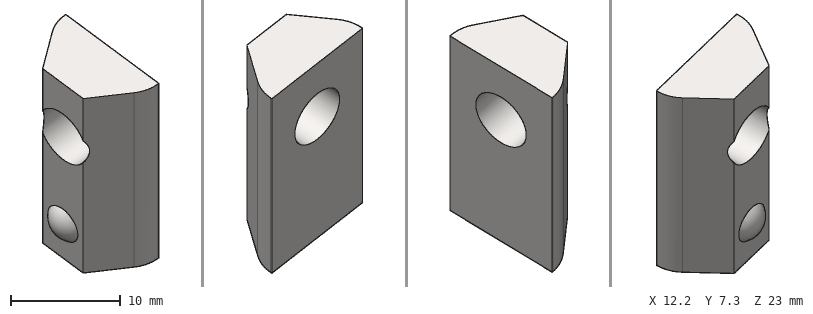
import cadquery as cq
import math

length = 23.0
width = 12.2
body_depth = 6.3
total_depth = 7.3
nose_width = 5.31
back_land = 0.14
shoulder_radius = 4.0
flank_angle = math.radians(35.2)

hole_diameter = 6.0
hole_from_top = 7.0

ball_from_bottom = 4.5
ball_base_radius = 1.95

half_width = width / 2
half_nose = nose_width / 2
ball_height = total_depth - body_depth
ball_radius = (ball_base_radius**2 + ball_height**2) / (2 * ball_height)


def shoulder_point(angle):
    """Point on the right shoulder arc, at an angle from its start."""
    x = half_width - shoulder_radius * (1 - math.cos(angle))
    y = -back_land - shoulder_radius * math.sin(angle)
    return x, y


def mirrored(point):
    return -point[0], point[1]


def make_body():
    """Prism with rounded shoulders and flanks narrowing to a flat nose."""
    middle = shoulder_point(flank_angle / 2)
    end = shoulder_point(flank_angle)
    return (
        cq.Workplane("XY")
        .moveTo(-half_width, 0)
        .lineTo(half_width, 0)
        .lineTo(half_width, -back_land)
        .threePointArc(middle, end)
        .lineTo(half_nose, -body_depth)
        .lineTo(-half_nose, -body_depth)
        .lineTo(*mirrored(end))
        .threePointArc(mirrored(middle), (-half_width, -back_land))
        .close()
        .extrude(length)
    )


def make_hole():
    """Cylinder along Y, through the full body depth."""
    return (
        cq.Workplane("XZ")
        .center(0, length - hole_from_top)
        .circle(hole_diameter / 2)
        .extrude(body_depth)
    )


def make_ball():
    """Sphere set into the nose so that only a shallow cap stands proud."""
    center_y = ball_radius - total_depth
    return cq.Workplane("XY").sphere(ball_radius).translate((0, center_y, ball_from_bottom))


result = make_body().cut(make_hole()).union(make_ball())